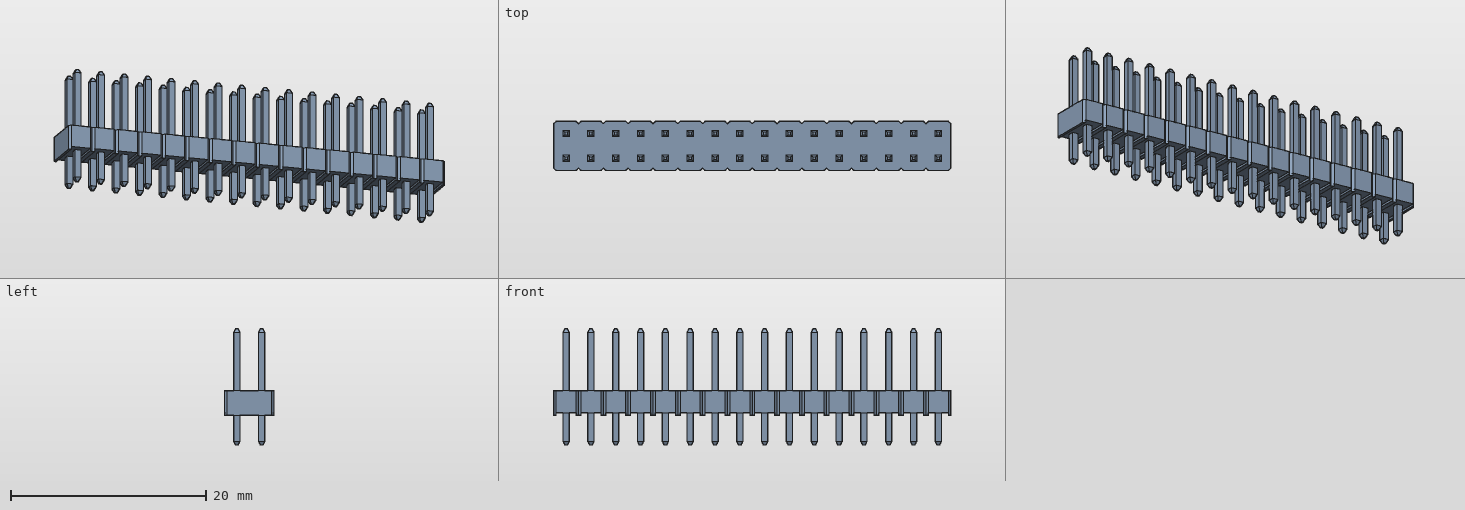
import cadquery as cq

pitch = 2.54
columns = 16
rows = 2

body_width = rows * pitch
body_height = 2.54
corner_cut = 0.254
channel_depth = 0.254
channel_width = pitch - 2 * corner_cut

pin_side = 0.66
pin_above_body = 6.35
pin_below_body = 3.05
pin_length = pin_below_body + body_height + pin_above_body
tip_length = 0.4
tip_side = 0.26


def centred_positions(count):
    """Positions of a run of contacts, one pitch apart and centred on zero."""
    return [(i - (count - 1) / 2) * pitch for i in range(count)]


def make_cell(x):
    """One pitch-long slice of the body; neighbouring edge cuts meet as V notches."""
    cell = (
        cq.Workplane("XY")
        .rect(pitch, body_width)
        .extrude(body_height)
        .edges("|Z")
        .chamfer(corner_cut)
    )
    channel = cq.Workplane("XY").rect(channel_width, body_width).extrude(channel_depth)
    return cell.cut(channel).translate((x, 0, 0))


def make_body():
    first_x, *other_x = centred_positions(columns)
    body = make_cell(first_x)
    for x in other_x:
        body = body.union(make_cell(x))
    return body


def make_tip(base_z, direction):
    """Truncated pyramid that grows away from the pin shank."""
    normal = (0, 0, direction)
    return (
        cq.Workplane(cq.Plane(origin=(0, 0, base_z), xDir=(1, 0, 0), normal=normal))
        .rect(pin_side, pin_side)
        .workplane(offset=tip_length)
        .rect(tip_side, tip_side)
        .loft()
    )


def make_pin():
    shank_bottom = tip_length - pin_below_body
    shank_length = pin_length - 2 * tip_length
    shank = (
        cq.Workplane("XY")
        .workplane(offset=shank_bottom)
        .rect(pin_side, pin_side)
        .extrude(shank_length)
    )
    lower_tip = make_tip(shank_bottom, -1)
    upper_tip = make_tip(shank_bottom + shank_length, 1)
    return shank.union(lower_tip).union(upper_tip)


def add_pins(body):
    pin = make_pin().val()
    pins = [
        pin.translate(cq.Vector(x, y, 0))
        for x in centred_positions(columns)
        for y in centred_positions(rows)
    ]
    return body.union(cq.Workplane("XY").newObject(pins).combine())


result = add_pins(make_body()).clean()